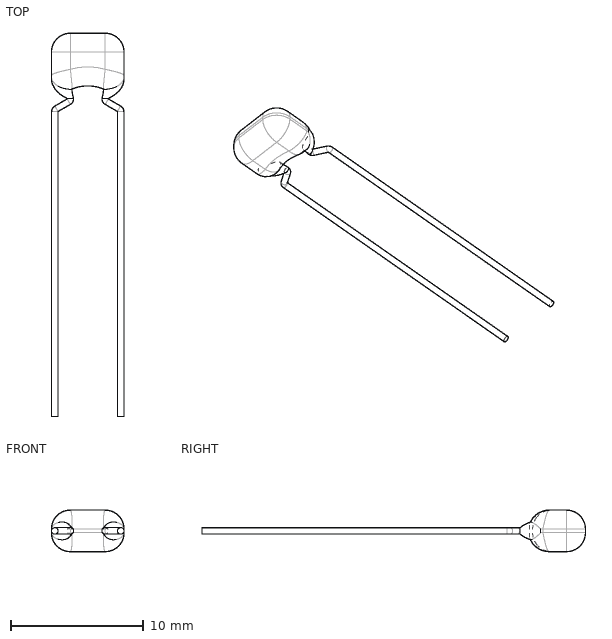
import cadquery as cq
import math

overall_length = 29.0
body_width = 5.5
body_thickness = 3.15
body_depth = 4.0
front_radius = 3.2
front_corner_radius = 1.1
edge_radius = 1.45

wire_diameter = 0.5
lead_spacing = 5.0
bend_radius = 0.25
crank_angle = 60.0

neck_spacing = 2.6
neck_tip_depth = 4.95
neck_waist_rise = 0.7
neck_waist_diameter = 1.28
neck_waist_shift = 0.52
neck_root_rise = 1.57
neck_root_diameter = 1.57

half_width = body_width / 2
neck_tip_x = neck_spacing / 2
neck_root_shift = half_width - neck_root_diameter / 2 - neck_tip_x
crank = math.radians(crank_angle)
sides = (-1, 1)


def make_coating():
    """Rounded capacitor body with a concave front, without its necks."""
    front_centre_y = -body_depth - front_radius
    front_corner_y = front_centre_y + math.sqrt(front_radius**2 - half_width**2)
    block = (
        cq.Workplane("XY", origin=(0, 0, -body_thickness / 2))
        .moveTo(-half_width, 0)
        .lineTo(half_width, 0)
        .lineTo(half_width, front_corner_y)
        .threePointArc((0, -body_depth), (-half_width, front_corner_y))
        .close()
        .extrude(body_thickness)
    )
    block = block.edges("|Z and >Y").fillet(edge_radius)
    block = block.edges("|Z and <Y").fillet(front_corner_radius)
    return block.faces("<Z or >Z").edges().fillet(edge_radius)


def make_neck(side):
    """Smooth taper from the side of the coating down to the wire diameter."""
    return (
        cq.Workplane("XZ", origin=(side * neck_tip_x, -neck_tip_depth, 0))
        .circle(wire_diameter / 2)
        .workplane(offset=-neck_waist_rise)
        .center(side * neck_waist_shift, 0)
        .circle(neck_waist_diameter / 2)
        .workplane(offset=neck_waist_rise - neck_root_rise)
        .center(side * (neck_root_shift - neck_waist_shift), 0)
        .circle(neck_root_diameter / 2)
        .loft()
    )


def make_body():
    body = make_coating()
    for side in sides:
        body = body.union(make_neck(side))
    return body


def make_lead(side):
    """Round wire that starts at a neck tip, cranks outward and then runs straight."""
    bend_shift = bend_radius * (1 - math.cos(crank))
    bend_drop = bend_radius * math.sin(crank)
    mid_shift = bend_radius * (1 - math.cos(crank / 2))
    mid_drop = bend_radius * math.sin(crank / 2)
    straight_x = lead_spacing / 2
    crank_shift = straight_x - neck_tip_x - 2 * bend_shift
    crank_drop = crank_shift / math.tan(crank)
    straight_y = -neck_tip_depth - 2 * bend_drop - crank_drop

    path = (
        cq.Workplane("XY")
        .moveTo(side * neck_tip_x, -neck_tip_depth)
        .threePointArc(
            (side * (neck_tip_x + mid_shift), -neck_tip_depth - mid_drop),
            (side * (neck_tip_x + bend_shift), -neck_tip_depth - bend_drop),
        )
        .lineTo(side * (straight_x - bend_shift), straight_y + bend_drop)
        .threePointArc(
            (side * (straight_x - mid_shift), straight_y + mid_drop),
            (side * straight_x, straight_y),
        )
        .lineTo(side * straight_x, -overall_length)
    )
    return (
        cq.Workplane("XZ", origin=(side * neck_tip_x, -neck_tip_depth, 0))
        .circle(wire_diameter / 2)
        .sweep(path)
    )


body = make_body()
leads = [make_lead(side) for side in sides]
result = cq.Compound.makeCompound([body.val(), *[lead.val() for lead in leads]])